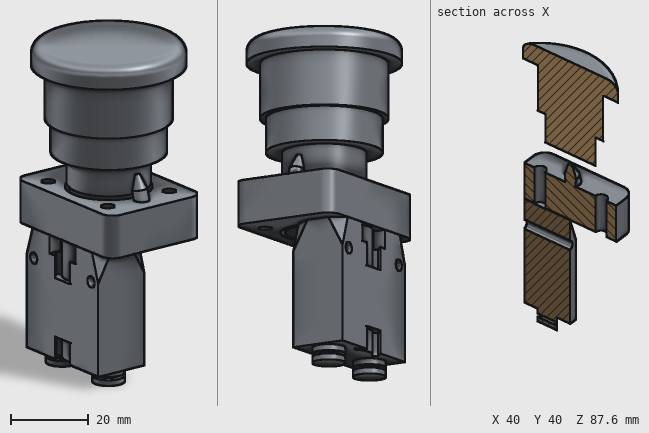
import cadquery as cq

plate_length = 40.0
plate_width = 30.0
plate_thickness = 11.55
plate_corner_radius = 3.5
screw_hole_diameter = 3.5
screw_hole_spacing_x = 25.0
screw_hole_spacing_y = 19.95
neck_bore_diameter = 22.5

toggle_diameter = 4.0
toggle_offset = 13.7
toggle_tilt = 15
toggle_straight_length = 2.6
toggle_cone_length = 4.1
toggle_tip_diameter = 1.2
toggle_root_depth = 0.9

neck_diameter = 20.0
neck_gap = 0.9
shaft_diameter = 21.7
shaft_height = 8.6
collar_diameter = 30.0
collar_height = 9.0
sleeve_diameter = 33.0
sleeve_height = 14.4
cap_diameter = 40.0
cap_height = 6.0
cap_fillet = 3.0

block_length = 30.0
block_width = 15.0
block_height = 33.0
block_front = -15.05
block_center_y = block_front + block_width / 2
corner_cut_x = 2.5
corner_cut_y = 4.3
corner_cut_z = 7.8
cross_hole_diameter = 3.0
cross_hole_offset = 12.0
cross_hole_depth = 8.05

core_radius = 6.0
groove_side = 7.5
groove_turn = 135
top_groove_height = 11.0
bottom_groove_height = 6.0
window_width = 10.85
window_height = 5.0
window_depth = 3.6

fitting_diameter = 8.5
fitting_neck_diameter = 5.0
fitting_flange_height = 1.6
fitting_neck_height = 0.9
fitting_offset = 9.7


def cylinder(diameter, height, base_z):
    return cq.Workplane("XY", origin=(0, 0, base_z)).circle(diameter / 2).extrude(height)


def make_toggle(side):
    """Pin with a cone and a small flat tip on the plate top; side is -1 for -X and +1 for +X."""
    body_radius = toggle_diameter / 2
    cone_top = toggle_straight_length + toggle_cone_length
    pin = (
        cq.Workplane("XZ")
        .moveTo(0, -toggle_root_depth)
        .lineTo(body_radius, -toggle_root_depth)
        .lineTo(body_radius, toggle_straight_length)
        .lineTo(toggle_tip_diameter / 2, cone_top)
        .lineTo(0, cone_top)
        .close()
        .revolve(360, (0, 0, 0), (0, 1, 0))
    )
    leaning = pin.rotate((0, 0, 0), (0, 1, 0), -side * toggle_tilt)
    return leaning.translate((side * toggle_offset, 0, plate_thickness))


def make_plate():
    plate = (
        cq.Workplane("XY")
        .rect(plate_length, plate_width)
        .extrude(plate_thickness)
        .edges("|Z").fillet(plate_corner_radius)
    )
    screw_holes = (
        cq.Workplane("XY")
        .rect(screw_hole_spacing_x, screw_hole_spacing_y, forConstruction=True)
        .vertices()
        .circle(screw_hole_diameter / 2)
        .extrude(plate_thickness)
    )
    plate = plate.cut(screw_holes).cut(cylinder(neck_bore_diameter, plate_thickness, 0))
    for side in (-1, 1):
        plate = plate.union(make_toggle(side))
    return plate


def make_button():
    """Stepped round head whose neck stands on the valve block inside the plate bore."""
    steps = (
        (neck_diameter, plate_thickness + neck_gap),
        (shaft_diameter, shaft_height),
        (collar_diameter, collar_height),
        (sleeve_diameter, sleeve_height),
        (cap_diameter, cap_height),
    )
    button = cq.Workplane("XY")
    base_z = 0
    for diameter, height in steps:
        button = button.union(cylinder(diameter, height, base_z))
        base_z += height
    return button.faces(">Z").edges().fillet(cap_fillet)


def make_corner_cut(side_x, side_y):
    """Tetrahedron that bevels one top corner of the valve block."""
    corner_x = side_x * block_length / 2
    corner_y = block_center_y + side_y * block_width / 2
    corner = cq.Vector(corner_x, corner_y, 0)
    along_x = cq.Vector(corner_x - side_x * corner_cut_x, corner_y, 0)
    along_y = cq.Vector(corner_x, corner_y - side_y * corner_cut_y, 0)
    below = cq.Vector(corner_x, corner_y, -corner_cut_z)
    triangles = (
        (corner, along_x, along_y),
        (corner, along_x, below),
        (corner, along_y, below),
        (along_x, along_y, below),
    )
    faces = [cq.Face.makeFromWires(cq.Wire.makePolygon(list(points), close=True)) for points in triangles]
    return cq.Workplane(cq.Solid.makeSolid(cq.Shell.makeShell(faces)))


def make_groove(base_z, height):
    """Square slot with one corner on the core axis and the opposite corner ahead of the block front."""
    slot = cq.Workplane("XY").box(groove_side, groove_side, height, centered=False)
    turned = slot.rotate((0, 0, 0), (0, 0, 1), -groove_turn)
    return turned.translate((0, block_center_y, base_z))


def make_front_recesses():
    """Wide shallow window and the top and bottom grooves, all of which leave the core standing."""
    window = cq.Workplane("XY").box(window_width, window_depth, window_height, centered=(True, False, False))
    window = window.translate((0, block_front, -window_height))
    top_groove = make_groove(-top_groove_height, top_groove_height - window_height)
    bottom_groove = make_groove(-block_height, bottom_groove_height)
    core = cylinder(2 * core_radius, block_height, -block_height).translate((0, block_center_y, 0))
    return window.union(top_groove).union(bottom_groove).cut(core)


def make_fitting(side):
    """Flange, narrow neck and flange, hanging below the valve block."""
    sections = (
        (fitting_diameter, fitting_flange_height),
        (fitting_neck_diameter, fitting_neck_height),
        (fitting_diameter, fitting_flange_height),
    )
    fitting = cq.Workplane("XY")
    top_z = -block_height
    for diameter, height in sections:
        top_z -= height
        fitting = fitting.union(cylinder(diameter, height, top_z))
    return fitting.translate((side * fitting_offset, block_center_y, 0))


def make_valve():
    valve = cq.Workplane("XY").box(block_length, block_width, block_height, centered=(True, False, False))
    valve = valve.translate((0, block_front, -block_height))
    for side_x in (-1, 1):
        for side_y in (-1, 1):
            valve = valve.cut(make_corner_cut(side_x, side_y))
    cross_holes = (
        cq.Workplane("XZ", origin=(0, block_front, -cross_hole_depth))
        .pushPoints([(-cross_hole_offset, 0), (cross_hole_offset, 0)])
        .circle(cross_hole_diameter / 2)
        .extrude(-block_width)
    )
    valve = valve.cut(cross_holes).cut(make_front_recesses())
    for side in (-1, 1):
        valve = valve.union(make_fitting(side))
    return valve


button = make_button().solids()
plate = make_plate().solids()
valve = make_valve().solids()

result = cq.Compound.makeCompound([button.val(), plate.val(), valve.val()])